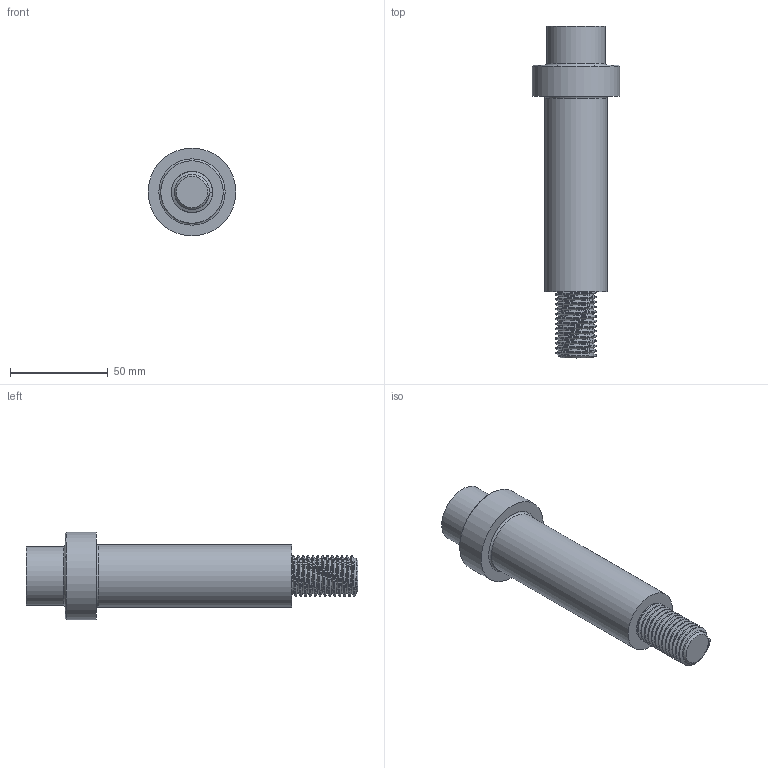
import cadquery as cq
spigot_diameter = 30.0
spigot_length = 20.0
collar_diameter = 45.0
collar_width = 16.0
shaft_diameter = 32.0
shaft_length = 100.0
core_diameter = 18.0
core_length = 34.0

fillet_radius = 1.0
collar_chamfer = 0.5
core_chamfer = 1.0

pitch = 2.5
turns = 13
crest_width = 0.2 * pitch
root_width = 0.75 * pitch
sunk_depth = 0.1
ridge_height = 1.5
thread_start = 0.25

shaft_end = -shaft_length
core_end = shaft_end - core_length
spigot_end = collar_width + spigot_length


def make_pin():
    """Spigot, collar, shaft and thread core as one turned solid."""
    spigot_radius = spigot_diameter / 2
    collar_radius = collar_diameter / 2
    shaft_radius = shaft_diameter / 2
    core_radius = core_diameter / 2
    profile = (
        cq.Workplane("XY")
        .moveTo(0, core_end)
        .lineTo(core_radius - core_chamfer, core_end)
        .lineTo(core_radius, core_end + core_chamfer)
        .lineTo(core_radius, shaft_end - fillet_radius)
        .radiusArc((core_radius + fillet_radius, shaft_end), fillet_radius)
        .lineTo(shaft_radius, shaft_end)
        .lineTo(shaft_radius, -fillet_radius)
        .radiusArc((shaft_radius + fillet_radius, 0), fillet_radius)
        .lineTo(collar_radius, 0)
        .lineTo(collar_radius, collar_width - collar_chamfer)
        .lineTo(collar_radius - collar_chamfer, collar_width)
        .lineTo(spigot_radius + fillet_radius, collar_width)
        .radiusArc((spigot_radius, collar_width + fillet_radius), fillet_radius)
        .lineTo(spigot_radius, spigot_end)
        .lineTo(0, spigot_end)
        .close()
    )
    return profile.revolve(360, (0, 0, 0), (0, 1, 0))


def make_thread(pin):
    """Helical ridge resting on the core, cut back where it runs into the shaft end and its fillet."""
    core_radius = core_diameter / 2
    crest_radius = core_radius + ridge_height
    sunk_radius = core_radius - sunk_depth
    sunk_width = root_width + (root_width - crest_width) * sunk_depth / ridge_height
    helix = cq.Wire.makeHelix(pitch, pitch * turns, core_radius, center=cq.Vector(0, 0, thread_start))
    ridge = (
        cq.Workplane("XZ")
        .moveTo(sunk_radius, thread_start - sunk_width / 2)
        .lineTo(crest_radius, thread_start - crest_width / 2)
        .lineTo(crest_radius, thread_start + crest_width / 2)
        .lineTo(sunk_radius, thread_start + sunk_width / 2)
        .close()
        .sweep(cq.Workplane(helix), isFrenet=True)
        .rotate((0, 0, 0), (1, 0, 0), 90)
        .translate((0, shaft_end, 0))
    )
    return ridge.cut(pin)


pin = make_pin()
thread = make_thread(pin)

result = cq.Compound.makeCompound([pin.val(), *thread.solids().vals()])